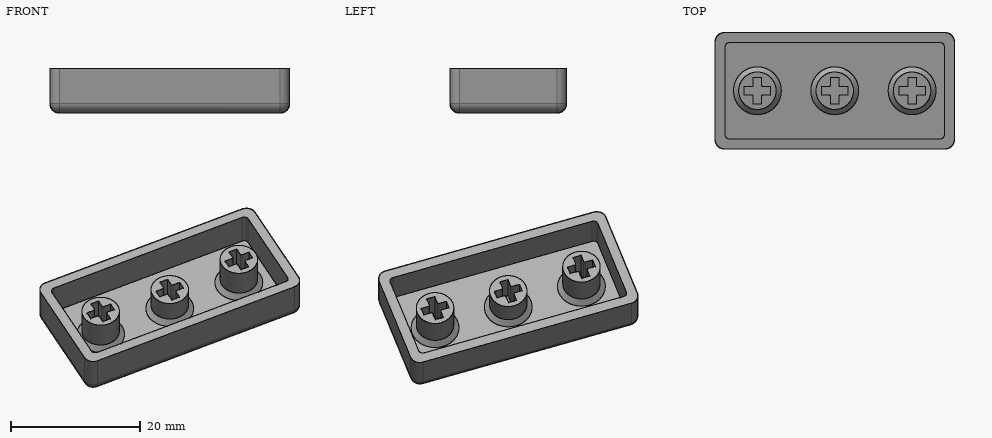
import cadquery as cq

LENGTH = 37.1
WIDTH = 18.05
HEIGHT = 6.9
CORNER_RADIUS = 1.5
BOTTOM_FILLET = 1.45

WALL = 1.57
FLOOR = 1.4
CAVITY_CORNER_RADIUS = 0.7

STEM_SPACING = 11.97
STEM_DIAMETER = 5.8
MIDDLE_STEM_BELOW_RIM = 1.1
OUTER_STEM_BELOW_RIM = 0.1
MIDDLE_STEM_TOP = HEIGHT - MIDDLE_STEM_BELOW_RIM
OUTER_STEM_TOP = HEIGHT - OUTER_STEM_BELOW_RIM
FLARE_SIZE = 0.8

CROSS_SPAN = 4.1
SLOT_ALONG_X = 1.27
SLOT_ALONG_Y = 1.32
CROSS_INNER_RADIUS = 0.2


def make_shell():
    """Rounded tray with its open side up."""
    body = cq.Workplane("XY").box(LENGTH, WIDTH, HEIGHT, centered=(True, True, False))
    body = body.edges("|Z").fillet(CORNER_RADIUS)
    body = body.faces("<Z").edges().fillet(BOTTOM_FILLET)
    cavity = (
        cq.Workplane("XY", origin=(0, 0, FLOOR))
        .rect(LENGTH - 2 * WALL, WIDTH - 2 * WALL)
        .extrude(HEIGHT - FLOOR)
        .edges("|Z")
        .fillet(CAVITY_CORNER_RADIUS)
    )
    return body.cut(cavity)


def make_stem(top):
    """Round post with a conical flare at its foot, sunk into the floor for a full joint."""
    radius = STEM_DIAMETER / 2
    foot_radius = radius + FLARE_SIZE
    sunk_foot = FLOOR / 2
    return (
        cq.Workplane("XZ")
        .moveTo(0, sunk_foot)
        .lineTo(foot_radius, sunk_foot)
        .lineTo(foot_radius, FLOOR)
        .lineTo(radius, FLOOR + FLARE_SIZE)
        .lineTo(radius, top)
        .lineTo(0, top)
        .close()
        .revolve(360, (0, 0, 0), (0, 1, 0))
    )


def make_cross(top):
    """Cross-shaped socket whose four inner corners are rounded."""
    depth = top - FLOOR
    base = cq.Workplane("XY", origin=(0, 0, FLOOR))
    bar_x = base.rect(CROSS_SPAN, SLOT_ALONG_X).extrude(depth)
    bar_y = base.rect(SLOT_ALONG_Y, CROSS_SPAN).extrude(depth)
    inner_corners = cq.selectors.BoxSelector(
        (-SLOT_ALONG_Y, -SLOT_ALONG_X, FLOOR),
        (SLOT_ALONG_Y, SLOT_ALONG_X, top),
    )
    return bar_x.union(bar_y).edges("|Z").edges(inner_corners).fillet(CROSS_INNER_RADIUS)


def add_stem(shell, x, top):
    """Fuse one stem into the shell at the given X and sink its socket."""
    shell = shell.union(make_stem(top).translate((x, 0, 0)))
    return shell.cut(make_cross(top).translate((x, 0, 0)))


result = make_shell()
result = add_stem(result, 0, MIDDLE_STEM_TOP)
for stem_x in (-STEM_SPACING, STEM_SPACING):
    result = add_stem(result, stem_x, OUTER_STEM_TOP)